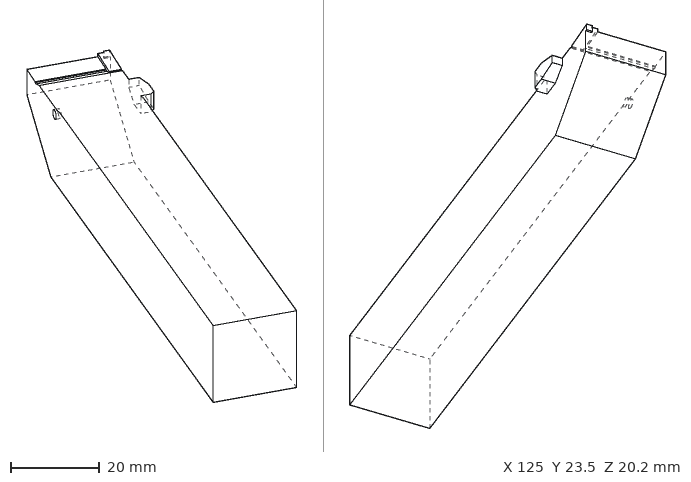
import cadquery as cq

LENGTH = 125.0
SHANK_WIDTH = 20.0
SHANK_HEIGHT = 20.0
NOSE_X = 0.5
NOSE_BOTTOM_Z = 12.8
HEEL_X = 16.5

SHELF_END_X = 6.0
SHELF_NOSE_DROP = 0.6
SHELF_DROP = 0.9
GROOVE_WIDTH = 0.6
GROOVE_DEPTH = 0.2
HEAD_START_X = 8.8
HEAD_END_X = 20.9
HEAD_DROP = 0.4
RAMP_END_X = 22.8

LUG_REACH = 3.5
LUG_FRONT_X = 12.9
LUG_FRONT_REACH = 2.5
LUG_CREST_X = 16.5
LUG_CHAMFER = 1.0
LUG_HEIGHT = 4.6
LUG_FRONT_HEIGHT = 2.1

INSERT_WIDTH = 3.0
INSERT_END_X = 8.1
INSERT_RISE = 0.2
TIP_WIDTH = 1.5
TIP_HEIGHT = 1.6

HOLE_X = 19.0
HOLE_DROP = 2.4
HOLE_DIAMETER = 2.2
HOLE_DEPTH = 1.2

SHELF_Z = SHANK_HEIGHT - SHELF_DROP
HEAD_Z = SHANK_HEIGHT - HEAD_DROP
INSERT_Z = SHANK_HEIGHT + INSERT_RISE


def side_prism(points, y_start, width):
    """Extrude an XZ outline towards +Y."""
    plane = cq.Workplane("XZ", origin=(0, y_start, 0))
    return plane.polyline(points).close().extrude(-width)


def make_shank():
    groove_end_x = SHELF_END_X + GROOVE_WIDTH
    groove_z = SHELF_Z - GROOVE_DEPTH
    outline = [
        (NOSE_X, NOSE_BOTTOM_Z),
        (HEEL_X, 0),
        (LENGTH, 0),
        (LENGTH, SHANK_HEIGHT),
        (RAMP_END_X, SHANK_HEIGHT),
        (HEAD_END_X, HEAD_Z),
        (HEAD_START_X, HEAD_Z),
        (groove_end_x, groove_z),
        (SHELF_END_X, groove_z),
        (SHELF_END_X, SHELF_Z),
        (NOSE_X, SHANK_HEIGHT - SHELF_NOSE_DROP),
    ]
    return side_prism(outline, 0, SHANK_WIDTH)


def make_lug():
    root_y = SHANK_WIDTH - LUG_REACH
    crest_y = SHANK_WIDTH + LUG_REACH
    bottom_z = HEAD_Z - LUG_HEIGHT
    plan = [
        (LUG_FRONT_X, root_y),
        (LUG_FRONT_X, SHANK_WIDTH + LUG_FRONT_REACH),
        (LUG_CREST_X, crest_y),
        (HEAD_END_X - LUG_CHAMFER, crest_y),
        (HEAD_END_X, crest_y - LUG_CHAMFER),
        (HEAD_END_X, root_y),
    ]
    profile = [
        (LUG_FRONT_X, HEAD_Z),
        (HEAD_END_X, HEAD_Z),
        (HEAD_END_X, bottom_z),
        (LUG_CREST_X, bottom_z),
        (LUG_FRONT_X, HEAD_Z - LUG_FRONT_HEIGHT),
    ]
    block = cq.Workplane("XY").workplane(offset=bottom_z).polyline(plan).close().extrude(LUG_HEIGHT)
    return block.intersect(side_prism(profile, root_y, 2 * LUG_REACH))


def make_insert():
    bed_z = INSERT_Z - TIP_HEIGHT
    outline = [
        (NOSE_X, bed_z),
        (INSERT_END_X, bed_z),
        (INSERT_END_X, HEAD_Z),
        (0, INSERT_Z),
        (0, bed_z),
    ]
    body = side_prism(outline, SHANK_WIDTH - INSERT_WIDTH, INSERT_WIDTH)
    relief = cq.Workplane("XY").box(NOSE_X, INSERT_WIDTH - TIP_WIDTH, INSERT_Z, centered=False)
    return body.cut(relief.translate((0, SHANK_WIDTH - INSERT_WIDTH, 0)))


def make_pin_hole():
    plane = cq.Workplane("XZ", origin=(HOLE_X, 0, SHANK_HEIGHT - HOLE_DROP))
    return plane.circle(HOLE_DIAMETER / 2).extrude(-HOLE_DEPTH)


result = make_shank().union(make_lug()).union(make_insert()).cut(make_pin_hole())